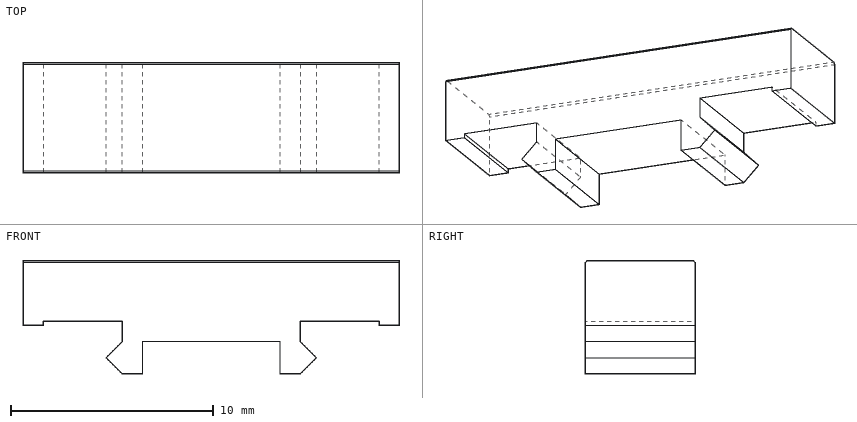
import cadquery as cq

length = 18.6
width = 5.45
height = 5.6
edge_chamfer = 0.1

end_foot_depth = 3.2
recess_depth = 3.0
pad_depth = 4.0

end_foot_length = 1.0
pad_length = 8.8
leg_thickness = 1.0

barb_reach = (height - pad_depth) / 2

half_length = length / 2
half_pad = pad_length / 2
half_gap = half_pad - leg_thickness

half_profile = [
    (0, 0),
    (half_length, 0),
    (half_length, -end_foot_depth),
    (half_length - end_foot_length, -end_foot_depth),
    (half_length - end_foot_length, -recess_depth),
    (half_pad, -recess_depth),
    (half_pad, -pad_depth),
    (half_pad + barb_reach, -pad_depth - barb_reach),
    (half_pad, -height),
    (half_gap, -height),
    (half_gap, -pad_depth),
    (0, -pad_depth),
]

body = (
    cq.Workplane("XZ")
    .polyline(half_profile)
    .mirrorY()
    .extrude(width / 2, both=True)
)

result = body.faces(">Z").edges("|X").chamfer(edge_chamfer)